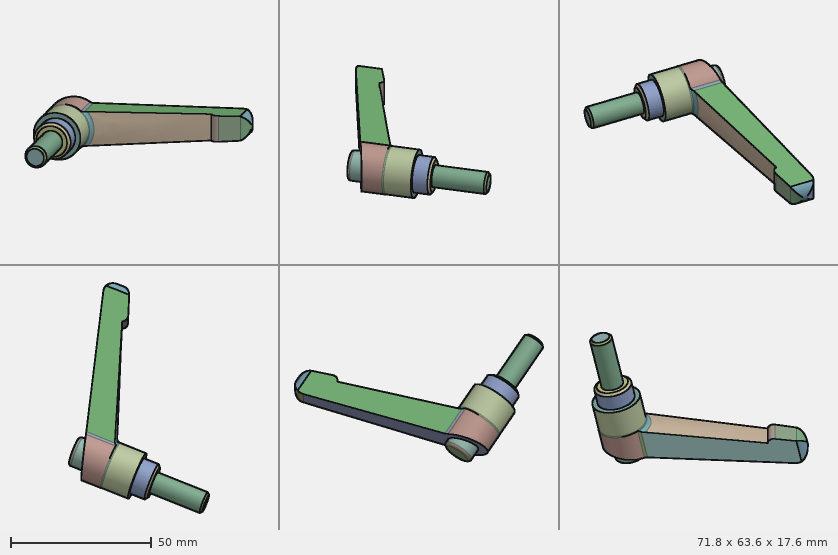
import cadquery as cq
import math

HUB_RADIUS = 8.8
COLLAR_RADIUS = 8.75
COLLAR_TOP = 10.1
STEP_TOP = 10.6
HUB_BLANK_TOP = 32.3
CAP_RADIUS = 5.5
CAP_TOP = 24.5
CAP_ROUND = 1.1
BUSH_RADIUS = 6.8
BUSH_LENGTH = 6.5
BUSH_CHAMFER_LENGTH = 0.85
BUSH_CHAMFER_DEPTH = 1.1
STUD_RADIUS = 4.0
STUD_END = 26.5
STUD_CHAMFER = 0.8

TOP_START_Y = 18.0
TOP_ANGLE = 16.0
UNDERSIDE_X = 9.5
UNDERSIDE_Y = 11.8
UNDERSIDE_ANGLE = 20.1
LEVER_BLANK_Y = 5.75
NOTCH_X = 49.6
LIP_X = 52.4

OVERALL_LENGTH = 71.8
LEVER_END = OVERALL_LENGTH - HUB_RADIUS
TIP_START_X = 59.8
TIP_LOWER_Y = 28.0
TIP_TOP_X = 57.45
TIP_UPPER_Y = 36.9
TIP_MID_Y = 33.05
PLAN_DEPTH = 43.1

ROOT_HALF_WIDTH = 6.4
TIP_HALF_WIDTH = 4.6

RING_RADIUS = 10.1
RING_UPPER_Y = 11.85
SIDE_FILLET = 1.8
SIDE_OVERHANG = 0.35


def top_y(x):
    return TOP_START_Y + (x + HUB_RADIUS) * math.tan(math.radians(TOP_ANGLE))


def underside_y(x):
    return UNDERSIDE_Y + (x - UNDERSIDE_X) * math.tan(math.radians(UNDERSIDE_ANGLE))


def grip_y(x):
    return TIP_LOWER_Y - (TIP_START_X - x) * math.tan(math.radians(UNDERSIDE_ANGLE))


def half_width(x):
    taper = (ROOT_HALF_WIDTH - TIP_HALF_WIDTH) / (TIP_START_X - HUB_RADIUS)
    return ROOT_HALF_WIDTH - taper * (x - HUB_RADIUS)


def cylinder(radius, start, end):
    return cq.Workplane("XZ", origin=(0, start, 0)).circle(radius).extrude(start - end)


def make_hub():
    hub = (
        cq.Workplane("XY")
        .polyline([
            (0, 0),
            (COLLAR_RADIUS, 0),
            (COLLAR_RADIUS, COLLAR_TOP),
            (HUB_RADIUS, STEP_TOP),
            (HUB_RADIUS, HUB_BLANK_TOP),
            (0, HUB_BLANK_TOP),
        ])
        .close()
        .revolve(360, (0, 0, 0), (0, 1, 0))
    )
    below_top = (
        cq.Workplane("XY")
        .polyline([
            (-HUB_RADIUS, 0),
            (HUB_RADIUS, 0),
            (HUB_RADIUS, top_y(HUB_RADIUS)),
            (-HUB_RADIUS, top_y(-HUB_RADIUS)),
        ])
        .close()
        .extrude(HUB_RADIUS, both=True)
    )
    return hub.intersect(below_top)


def make_lever():
    profile = (
        cq.Workplane("XY")
        .moveTo(0, top_y(0))
        .lineTo(TIP_TOP_X, top_y(TIP_TOP_X))
        .tangentArcPoint((TIP_START_X, TIP_UPPER_Y), relative=False)
        .threePointArc((LEVER_END, TIP_MID_Y), (TIP_START_X, TIP_LOWER_Y))
        .lineTo(LIP_X, grip_y(LIP_X))
        .tangentArcPoint((NOTCH_X, underside_y(NOTCH_X)), relative=False)
        .lineTo(0, LEVER_BLANK_Y)
        .close()
        .extrude(HUB_RADIUS, both=True)
    )
    return profile.intersect(make_plan())


def make_plan():
    """Lever and hub outline along the pivot axis, with the inner corners filleted."""
    blade = (
        cq.Workplane("XZ")
        .moveTo(0, -half_width(0))
        .lineTo(TIP_START_X, -TIP_HALF_WIDTH)
        .threePointArc((LEVER_END, 0), (TIP_START_X, TIP_HALF_WIDTH))
        .lineTo(0, half_width(0))
        .close()
        .extrude(-PLAN_DEPTH)
    )
    plan = blade.union(cylinder(HUB_RADIUS, 0, PLAN_DEPTH))
    inner_corners = cq.selectors.BoxSelector(
        (HUB_RADIUS / 2, 0, -HUB_RADIUS),
        (HUB_RADIUS, PLAN_DEPTH, HUB_RADIUS),
    )
    return plan.edges("|Y").edges(inner_corners).fillet(SIDE_FILLET)


def make_underside_cutter():
    """Space below a ruled surface from the ring's arc to the straight notch edge."""
    arc_z = ROOT_HALF_WIDTH + SIDE_OVERHANG
    arc_x = math.sqrt(RING_RADIUS**2 - arc_z**2)
    root_arc = cq.Edge.makeThreePointArc(
        cq.Vector(arc_x, RING_UPPER_Y, -arc_z),
        cq.Vector(RING_RADIUS, RING_UPPER_Y, 0),
        cq.Vector(arc_x, RING_UPPER_Y, arc_z),
    )
    notch_z = half_width(NOTCH_X) + SIDE_OVERHANG
    notch_y = underside_y(NOTCH_X)
    notch_edge = cq.Edge.makeLine(
        cq.Vector(NOTCH_X, notch_y, -notch_z),
        cq.Vector(NOTCH_X, notch_y, notch_z),
    )
    underside = cq.Face.makeRuledSurface(root_arc, notch_edge)
    return cq.Workplane(cq.Solid.extrudeLinear(underside, cq.Vector(0, -PLAN_DEPTH, 0)))


def make_root_cutter():
    """Ring of space below the concave fillet around the hub."""
    return (
        cq.Workplane("XY")
        .moveTo(COLLAR_RADIUS, 0)
        .lineTo(COLLAR_RADIUS, COLLAR_TOP)
        .tangentArcPoint((RING_RADIUS, RING_UPPER_Y), relative=False)
        .lineTo(RING_RADIUS, 0)
        .close()
        .revolve(360, (0, 0, 0), (0, 1, 0))
    )


def make_cap():
    return cylinder(CAP_RADIUS, 0, CAP_TOP).faces(">Y").edges().fillet(CAP_ROUND)


def make_bush():
    bush = cylinder(BUSH_RADIUS, -BUSH_LENGTH, 0)
    return bush.faces("<Y").edges().chamfer(BUSH_CHAMFER_LENGTH, BUSH_CHAMFER_DEPTH)


def make_stud():
    return cylinder(STUD_RADIUS, -STUD_END, 0).faces("<Y").edges().chamfer(STUD_CHAMFER)


lever = make_lever().cut(make_underside_cutter()).cut(make_root_cutter())
result = make_hub().union(lever).union(make_cap()).union(make_bush()).union(make_stud())